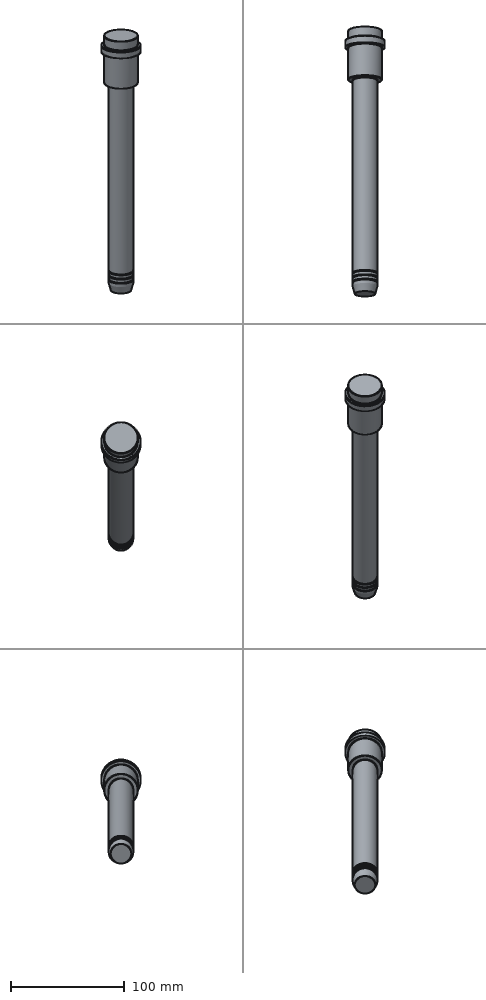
import cadquery as cq

length = 240.0
head_diameter = 30.0
head_radius = head_diameter / 2
shaft_radius = 11.0

head_length = 45.0
head_chamfer = 0.5
head_bottom = length - head_length

collar_radius = 17.5
collar_height = 6.0
collar_chamfer = 0.5
collar_drop = 9.0
collar_top = length - collar_drop
collar_bottom = collar_top - collar_height

relief_width = 1.0
relief_depth = 0.5

groove_count = 3
lowest_groove = 10.5
highest_groove = 18.5
groove_pitch = (highest_groove - lowest_groove) / (groove_count - 1)
groove_width = 1.2
groove_depth = 0.5

tip_height = 7.0
tip_radius = 9.0
tip_chamfer = 0.2


def cylinder(radius, bottom, top):
    """Solid cylinder on the Z axis between two heights."""
    return cq.Workplane("XY").workplane(offset=bottom).circle(radius).extrude(top - bottom)


def revolve_about_z(outline):
    """Solid of revolution from a closed outline of radius and height."""
    return outline.revolve(360, (0, 0, 0), (0, 1, 0))


def v_groove(surface_radius, center, width, depth):
    """Cutter for a V-shaped ring groove, reaching past the surface by its own depth."""
    bottom = center - width / 2
    top = center + width / 2
    outside = surface_radius + depth
    corners = [
        (outside, bottom),
        (surface_radius, bottom),
        (surface_radius - depth, center),
        (surface_radius, top),
        (outside, top),
    ]
    return revolve_about_z(cq.Workplane("XZ").polyline(corners).close())


def make_tip():
    """Cone that narrows from the shaft to a chamfered lower end."""
    corners = [(0, 0), (tip_radius, 0), (shaft_radius, tip_height), (0, tip_height)]
    tip = revolve_about_z(cq.Workplane("XZ").polyline(corners).close())
    return tip.faces("<Z").chamfer(tip_chamfer)


def make_shaft():
    """Shaft with evenly spaced grooves above the tip and a relief groove below the head."""
    shaft = cylinder(shaft_radius, tip_height, head_bottom)
    for index in range(groove_count):
        center = lowest_groove + index * groove_pitch
        shaft = shaft.cut(v_groove(shaft_radius, center, groove_width, groove_depth))
    relief_center = head_bottom - relief_width / 2
    return shaft.cut(v_groove(shaft_radius, relief_center, relief_width, relief_depth))


def make_head():
    """Chamfered head with a relief groove on each side of its collar."""
    head = cylinder(head_radius, head_bottom, length).faces("<Z or >Z").chamfer(head_chamfer)
    for center in (collar_top + relief_width / 2, collar_bottom - relief_width / 2):
        head = head.cut(v_groove(head_radius, center, relief_width, relief_depth))
    collar = cylinder(collar_radius, collar_bottom, collar_top).faces(">Z").chamfer(collar_chamfer)
    return head.union(collar)


result = make_tip().union(make_shaft()).union(make_head())